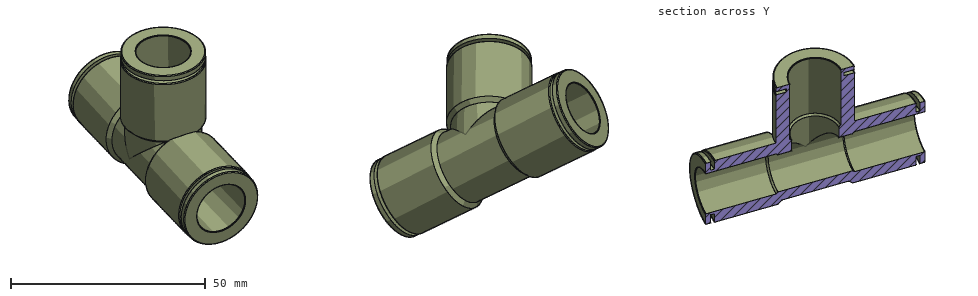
import cadquery as cq

reach = 30.5
body_diameter = 22.0
collar_diameter = 21.8
collar_thickness = 1.5
collar_rim_chamfer = 0.25
groove_diameter = 16.0
groove_width = 0.9
body_rim_chamfer = 0.25
run_shoulder = 10.4
branch_shoulder = 10.0
shoulder_drop = 1.1
bore_diameter = 13.0
mouth_diameter = 14.4
socket_diameter = 14.0
socket_floor = 10.4

body_radius = body_diameter / 2
collar_radius = collar_diameter / 2
groove_radius = groove_diameter / 2
neck_radius = body_radius - shoulder_drop
collar_base = reach - collar_thickness
body_end = collar_base - groove_width
socket_step = (socket_diameter - bore_diameter) / 2
mouth_chamfer = (mouth_diameter - socket_diameter) / 2

run_turns = [90, -90]


def revolve_about_z(points):
    """Revolve a closed (radius, height) outline about the Z axis."""
    return cq.Workplane("XZ").polyline(points).close().revolve(360, (0, 0, 0), (0, 1, 0))


def make_arm(shoulder_start):
    """Neck, body and collar of one upright port, starting at the tee centre."""
    return revolve_about_z([
        (0, 0),
        (neck_radius, 0),
        (neck_radius, shoulder_start - shoulder_drop),
        (body_radius, shoulder_start),
        (body_radius, body_end - body_rim_chamfer),
        (body_radius - body_rim_chamfer, body_end),
        (groove_radius, body_end),
        (groove_radius, collar_base),
        (collar_radius, collar_base),
        (collar_radius, reach - collar_rim_chamfer),
        (collar_radius - collar_rim_chamfer, reach),
        (0, reach),
    ])


def make_bore():
    """Bore of one port: chamfered mouth, straight socket, cone, then a plain hole."""
    return revolve_about_z([
        (0, 0),
        (bore_diameter / 2, 0),
        (bore_diameter / 2, socket_floor),
        (socket_diameter / 2, socket_floor + socket_step),
        (socket_diameter / 2, reach - mouth_chamfer),
        (mouth_diameter / 2, reach),
        (0, reach),
    ])


def tee(branch, run_arm):
    """Join an upright branch with a copy of the run arm laid along each way of X."""
    joined = branch
    for angle in run_turns:
        joined = joined.union(run_arm.rotate((0, 0, 0), (0, 1, 0), angle))
    return joined


outside = tee(make_arm(branch_shoulder), make_arm(run_shoulder))
passages = tee(make_bore(), make_bore())
result = outside.cut(passages)